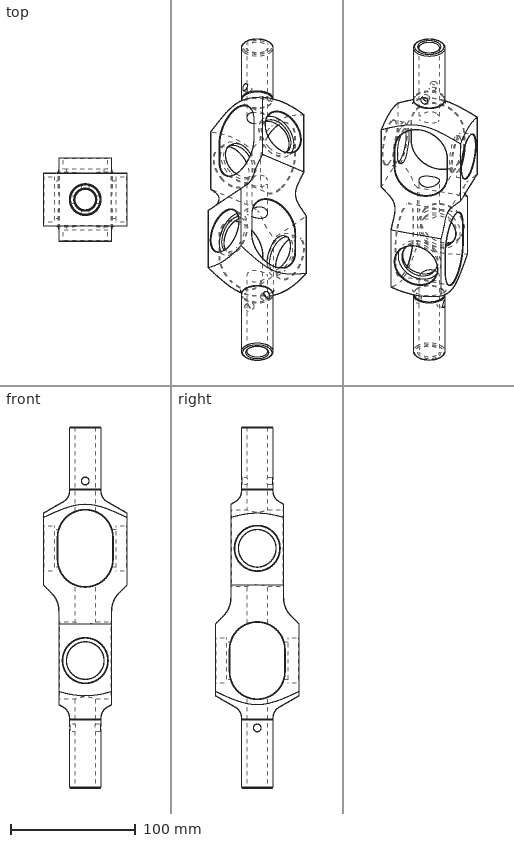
import cadquery as cq
import math

total_length = 290.0
top_z = total_length / 2
bottom_z = -total_length / 2

mirror_z = 2.5
yoke_offset = 45.0
yoke_width = 67.0
yoke_thickness = 42.5
shoulder_offset = 15.5
shoulder_angle = 45.0
shoulder_radius = 20.0

slot_width = 44.0
slot_height = 61.5
slot_chamfer = 0.5

pin_diameter = 30.0
seat_diameter = 36.0
seat_depth = 9.0
seat_chamfer = 0.5
chamfer_angle = 45.0

stem_diameter = 25.5
stem_bore = 16.5
stem_end_chamfer = 1.0
stem_bore_chamfer = 1.0
stem_hole_diameter = 6.0
stem_hole_offset = 99.0

cap_slope = 30.0
cap_edge_offset = 73.3
cap_radius = 9.5
groove_width = 1.8
groove_depth = 0.3


def cap_height(radius):
    """Height of the cone above mirror_z at a given radius."""
    return cap_edge_offset + (yoke_width / 2 - radius) * math.tan(math.radians(cap_slope))


blend_outer_radius = stem_diameter / 2 + cap_radius * (1 - math.sin(math.radians(cap_slope)))
blend_bottom = cap_height(blend_outer_radius)
blend_top = blend_bottom + cap_radius * math.cos(math.radians(cap_slope))


def yoke_prism():
    """Outline wide in X at the top and narrow below, extruded through Y."""
    half_wide = yoke_width / 2
    half_waist = yoke_thickness / 2
    angle = math.radians(shoulder_angle)
    tangent_x = half_waist + shoulder_radius * (1 - math.cos(angle))
    tangent_z = shoulder_offset - (half_wide - tangent_x) / math.tan(angle)
    waist_z = tangent_z - shoulder_radius * math.sin(angle)
    arc_x = half_waist + shoulder_radius * (1 - math.cos(angle / 2))
    arc_z = waist_z + shoulder_radius * math.sin(angle / 2)
    return (
        cq.Workplane("XZ")
        .moveTo(-half_wide, total_length)
        .lineTo(half_wide, total_length)
        .lineTo(half_wide, shoulder_offset)
        .lineTo(tangent_x, tangent_z)
        .threePointArc((arc_x, arc_z), (half_waist, waist_z))
        .lineTo(half_waist, -total_length)
        .lineTo(-half_waist, -total_length)
        .lineTo(-half_waist, waist_z)
        .threePointArc((-arc_x, arc_z), (-tangent_x, tangent_z))
        .lineTo(-half_wide, shoulder_offset)
        .close()
        .extrude(half_wide, both=True)
    )


def cap_envelope():
    """Revolved half above mirror_z: cylinder, cone and the blend that leads to the stem."""
    outer_radius = yoke_width
    arc_angle = math.radians(90 - cap_slope) / 2
    return (
        cq.Workplane("XZ")
        .moveTo(0, 0)
        .lineTo(outer_radius, 0)
        .lineTo(outer_radius, cap_height(outer_radius))
        .lineTo(blend_outer_radius, blend_bottom)
        .threePointArc(
            (
                stem_diameter / 2 + cap_radius * (1 - math.cos(arc_angle)),
                blend_top - cap_radius * math.sin(arc_angle),
            ),
            (stem_diameter / 2, blend_top),
        )
        .lineTo(0, blend_top)
        .close()
        .revolve(360, (0, 0, 0), (0, 1, 0))
    )


def flipped(shape):
    """Carry an upper-yoke shape to the lower yoke."""
    return shape.rotate((0, 0, 0), (1, 1, 0), 180)


def stem(length):
    """Solid stem from the blend to its chamfered end."""
    return (
        cq.Workplane("XY", origin=(0, 0, blend_top))
        .circle(stem_diameter / 2)
        .extrude(length - blend_top)
        .faces(">Z")
        .chamfer(stem_end_chamfer)
    )


def stem_cuts(length):
    """Countersink at the stem end, cross hole and V-shaped groove."""
    bore_cone = cq.Workplane("XY").add(
        cq.Solid.makeCone(
            stem_bore / 2,
            stem_bore / 2 + stem_bore_chamfer,
            stem_bore_chamfer,
            pnt=cq.Vector(0, 0, length - stem_bore_chamfer),
        )
    )
    cross_hole = (
        cq.Workplane("XZ", origin=(0, 0, stem_hole_offset))
        .circle(stem_hole_diameter / 2)
        .extrude(stem_diameter, both=True)
    )
    stem_radius = stem_diameter / 2
    groove = (
        cq.Workplane("XZ")
        .moveTo(stem_radius, blend_top)
        .lineTo(stem_radius - groove_depth, blend_top + groove_width / 2)
        .lineTo(stem_radius, blend_top + groove_width)
        .lineTo(stem_radius + groove_depth, blend_top + groove_width)
        .lineTo(stem_radius + groove_depth, blend_top)
        .close()
        .revolve(360, (0, 0, 0), (0, 1, 0))
    )
    return bore_cone.union(cross_hole).union(groove)


def yoke_cuts():
    """Slot along Y and pin bore with bearing seats along X."""
    pin_center = (0, 0, yoke_offset)
    cuts = (
        cq.Workplane("XZ", origin=pin_center)
        .slot2D(slot_height, slot_width, 90)
        .extrude(yoke_thickness / 2, both=True)
    )
    for side in (-1, 1):
        cuts = cuts.union(
            cq.Workplane("XZ", origin=(0, side * yoke_thickness / 2, yoke_offset))
            .slot2D(slot_height + 2 * slot_chamfer, slot_width + 2 * slot_chamfer, 90)
            .extrude(side * slot_chamfer, taper=chamfer_angle)
        )
    pin_bore = (
        cq.Workplane("YZ", origin=pin_center)
        .circle(pin_diameter / 2)
        .extrude(yoke_width, both=True)
    )
    cuts = cuts.union(pin_bore)
    for side in (-1, 1):
        face = cq.Workplane("YZ", origin=(side * yoke_width / 2, 0, yoke_offset))
        cuts = cuts.union(face.circle(seat_diameter / 2).extrude(-side * seat_depth))
        cuts = cuts.union(
            face.circle(seat_diameter / 2 + seat_chamfer).extrude(-side * seat_chamfer, taper=chamfer_angle)
        )
    return cuts


upper_length = top_z - mirror_z
lower_length = mirror_z - bottom_z

body = yoke_prism().intersect(flipped(yoke_prism()))
body = body.intersect(cap_envelope().union(flipped(cap_envelope())))
body = body.union(stem(upper_length)).union(flipped(stem(lower_length)))

bore = cq.Workplane("XY").circle(stem_bore / 2).extrude(total_length, both=True)
body = body.cut(bore)
body = body.cut(yoke_cuts()).cut(flipped(yoke_cuts()))
body = body.cut(stem_cuts(upper_length)).cut(flipped(stem_cuts(lower_length)))

result = body.translate((0, 0, mirror_z))